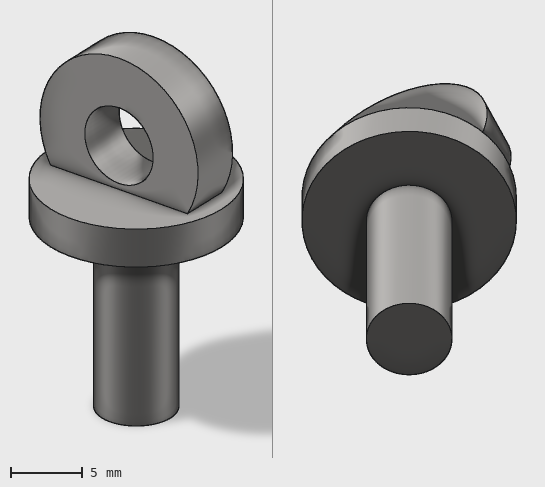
import cadquery as cq

total_height = 28.4
flange_diameter = 15.0
flange_thickness = 3.0
shank_diameter = 6.0
shank_length = 15.0
eye_diameter = 13.85
eye_thickness = 4.0
eye_hole_diameter = 6.0

flange_top = shank_length + flange_thickness
eye_center_height = total_height - eye_diameter / 2


def make_shank_and_flange():
    """Plain round shank carrying a wider round flange."""
    shank = cq.Workplane("XY").circle(shank_diameter / 2).extrude(shank_length)
    return shank.faces(">Z").workplane().circle(flange_diameter / 2).extrude(flange_thickness)


def make_eye():
    """Upright disc with a cross hole along Y, cut flat where it meets the flange."""
    disc = (
        cq.Workplane("XZ")
        .center(0, eye_center_height)
        .circle(eye_diameter / 2)
        .circle(eye_hole_diameter / 2)
        .extrude(eye_thickness / 2, both=True)
    )
    space_above_flange = (
        cq.Workplane("XY")
        .workplane(offset=flange_top)
        .rect(eye_diameter, eye_thickness)
        .extrude(total_height - flange_top)
    )
    return disc.intersect(space_above_flange)


result = make_shank_and_flange().union(make_eye())